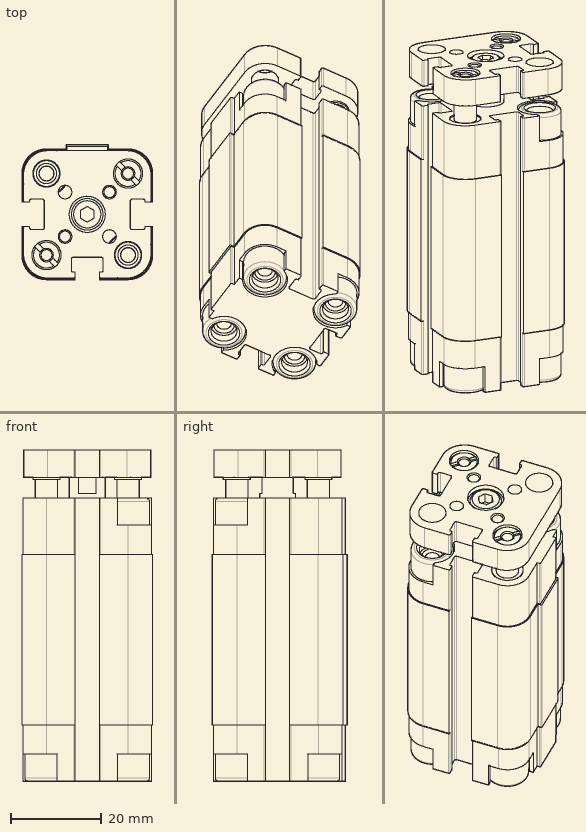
import cadquery as cq
import math

total_height = 73.5
housing_height = 62.85
cap_height = 12.5
plate_thickness = 6.1
plate_bottom = total_height - plate_thickness
barrel_top = housing_height - cap_height

barrel_width = 29.0
cap_width = 28.5
plate_width = 28.2
barrel_corner_radius = 5.5
cap_corner_radius = 5.2
plate_corner_radius = 5.3

slot_floor = 9.55
slot_lip = 12.8
side_slot_width = 6.7
front_slot_width = 7.0
slot_corner_radius = 0.4
slot_mouth = 5.4
lip_round = 0.3
slots = ((0, side_slot_width), (180, side_slot_width), (270, front_slot_width))

barrel_rail_width = 9.4
barrel_rail_height = 0.95
cap_rail_width = 9.0
cap_rail_height = 0.8
rail_round = 0.2

corner_offset = 9.05
bolt_corners = ((1, -1), (-1, 1))
guide_corners = ((1, 1), (-1, -1))

boss_diameter = 9.5
boss_pocket_diameter = 9.9
boss_height = 6.0
boss_round = 0.7
notch_inner_edge = 6.7
bore_rim_diameter = 7.0
bore_diameter = 5.7
bore_depth = 2.6
countersink_diameter = 4.5
bolt_hole_diameter = 3.2

rod_diameter = 8.0
rod_flat_width = 7.0
rod_flat_bottom = 63.9
rod_head_diameter = 7.0
rod_head_top_diameter = 6.0
hex_across_flats = 3.0
hex_depth = 2.95
hex_rotation = 30

guide_diameter = 5.0
guide_collar_diameter = 6.0
guide_collar_height = 0.5
guide_seat_diameter = 7.0
guide_seat_depth = 0.3
guide_head_diameter = 6.5
guide_head_top_diameter = 5.7
guide_slot_width = 1.1
guide_slot_depth = 0.7
guide_slot_angle = -45
guide_socket_diameter = 3.0
guide_socket_floor_diameter = 2.4
guide_socket_depth = 0.3

guide_head_recess = 0.4
rod_head_recess = 0.45
head_seat_depth = 1.2
rod_end = barrel_top

plate_bolt_hole_diameter = 6.0
small_hole_offset = 4.9
small_hole_diameter = 3.0
thread_core_diameter = 2.4


def corner_points(corners, offset):
    """Points at the given offset from the axis in X and Y."""
    return [(sx * offset, sy * offset) for sx, sy in corners]


def cylinder(point, diameter, bottom, top):
    return cq.Workplane("XY", origin=(*point, bottom)).circle(diameter / 2).extrude(top - bottom)


def cone(point, bottom_diameter, top_diameter, bottom, top):
    solid = cq.Solid.makeCone(bottom_diameter / 2, top_diameter / 2, top - bottom, cq.Vector(*point, bottom))
    return cq.Workplane(obj=solid)


def lip_rounding(outer_face, side, radius, bottom, height):
    """Material outside the rounded outer edge of one slot lip."""
    edge = side * slot_mouth / 2
    middle = radius * (1 - math.sqrt(0.5))
    return (
        cq.Workplane("XY", origin=(outer_face, edge, bottom))
        .lineTo(-radius, 0)
        .threePointArc((-middle, side * middle), (0, side * radius))
        .close()
        .extrude(height)
    )


def slot_cutter(width, slot_width, bottom, top, lip_radius):
    """T-slot open towards +X."""
    height = top - bottom
    channel = (
        cq.Workplane("XY", origin=((slot_floor + slot_lip) / 2, 0, bottom))
        .rect(slot_lip - slot_floor, slot_width)
        .extrude(height)
        .edges("|Z")
        .fillet(slot_corner_radius)
    )
    opening_length = width / 2 - slot_floor
    opening = (
        cq.Workplane("XY", origin=(slot_floor + opening_length / 2, 0, bottom))
        .rect(opening_length, slot_mouth)
        .extrude(height)
    )
    cutter = channel.union(opening)
    if lip_radius:
        for side in (-1, 1):
            cutter = cutter.union(lip_rounding(width / 2, side, lip_radius, bottom, height))
    return cutter


def slotted_block(width, corner_radius, bottom, top, lip_radius=0):
    """Square block with rounded corners and a T-slot on the -X, +X and -Y sides."""
    block = (
        cq.Workplane("XY", origin=(0, 0, bottom))
        .rect(width, width)
        .extrude(top - bottom)
        .edges("|Z")
        .fillet(corner_radius)
    )
    for angle, slot_width in slots:
        cutter = slot_cutter(width, slot_width, bottom, top, lip_radius)
        block = block.cut(cutter.rotate((0, 0, 0), (0, 0, 1), angle))
    return block


def rail(block_width, rail_width, rail_height, bottom, top):
    """Flat rail with rounded outer edges on the +Y side, rooted in the block."""
    outer_face = block_width / 2 + rail_height
    return (
        cq.Workplane("XY", origin=(0, (slot_floor + outer_face) / 2, bottom))
        .rect(rail_width, outer_face - slot_floor)
        .extrude(top - bottom)
        .edges("|Z and >Y")
        .fillet(rail_round)
    )


def corner_boss(corner):
    """Round boss with a rounded rim, upper end at the housing top."""
    point = corner_points([corner], corner_offset)[0]
    bottom = housing_height - boss_height
    boss = cylinder(point, boss_diameter, bottom, housing_height)
    return boss.faces(">Z").edges().fillet(boss_round)


def corner_notch(corner):
    """Space around a corner boss: the outer corner and a round pocket."""
    bottom = housing_height - boss_height
    size = barrel_width / 2 - notch_inner_edge
    middle = notch_inner_edge + size / 2
    point = corner_points([corner], middle)[0]
    box = cq.Workplane("XY", origin=(*point, bottom)).rect(size, size).extrude(boss_height)
    pocket = cylinder(corner_points([corner], corner_offset)[0], boss_pocket_diameter, bottom, housing_height)
    return box.union(pocket)


def bolt_bore(corner):
    """Stepped bore sunk from the housing top, with a rim chamfer and a countersink."""
    point = corner_points([corner], corner_offset)[0]
    floor = housing_height - bore_depth
    rim_chamfer = (bore_rim_diameter - bore_diameter) / 2
    sink_depth = (countersink_diameter - bolt_hole_diameter) / 2
    bore = cylinder(point, bore_diameter, floor, housing_height)
    rim = cone(point, bore_diameter, bore_rim_diameter, housing_height - rim_chamfer, housing_height)
    sink = cone(point, bolt_hole_diameter, countersink_diameter, floor - sink_depth, floor)
    return bore.union(rim).union(sink)


def flip(shape):
    """Turn a feature of the housing top into one of the bottom."""
    return shape.mirror("XY", (0, 0, housing_height / 2))


def make_housing():
    body = slotted_block(barrel_width, barrel_corner_radius, cap_height, barrel_top)
    body = body.union(rail(barrel_width, barrel_rail_width, barrel_rail_height, cap_height, barrel_top))
    for bottom in (0, barrel_top):
        top = bottom + cap_height
        body = body.union(slotted_block(cap_width, cap_corner_radius, bottom, top, lip_round))
        body = body.union(rail(cap_width, cap_rail_width, cap_rail_height, bottom, top))

    for corner in bolt_corners:
        body = body.cut(corner_notch(corner))
        body = body.union(corner_boss(corner))
        body = body.cut(bolt_bore(corner))
    for corner in bolt_corners + guide_corners:
        body = body.cut(flip(corner_notch(corner)))
        body = body.union(flip(corner_boss(corner)))
        body = body.cut(flip(bolt_bore(corner)))
    for point in corner_points(bolt_corners, corner_offset):
        body = body.cut(cylinder(point, bolt_hole_diameter, 0, housing_height))

    guide_seat_bottom = housing_height - guide_seat_depth
    body = body.cut(cylinder((0, 0), rod_diameter, rod_end, housing_height))
    for point in corner_points(guide_corners, corner_offset):
        body = body.cut(cylinder(point, guide_diameter, rod_end, housing_height))
        body = body.cut(cylinder(point, guide_seat_diameter, guide_seat_bottom, housing_height))
    return body


def sunk_head(plate, point, seat_diameter, head_diameter, chamfer, recess):
    """Chamfered round head in a seat bore, slightly below the plate face."""
    head_top = total_height - recess
    seat_bottom = total_height - head_seat_depth
    seat = cylinder(point, seat_diameter, seat_bottom, total_height)
    head = cylinder(point, head_diameter, seat_bottom, head_top).faces(">Z").edges().chamfer(chamfer)
    return plate.cut(seat).union(head)


def piston_rod():
    rod = cylinder((0, 0), rod_diameter, rod_end, plate_bottom)
    flat_height = plate_bottom - rod_flat_bottom
    flat_depth = (rod_diameter - rod_flat_width) / 2
    for side in (-1, 1):
        middle = side * (rod_flat_width + flat_depth) / 2
        flat = cq.Workplane("XY", origin=(0, middle, rod_flat_bottom)).rect(rod_diameter, flat_depth)
        rod = rod.cut(flat.extrude(flat_height))
    return rod


def guide_rod(point):
    rod = cylinder(point, guide_diameter, rod_end, plate_bottom)
    return rod.union(cylinder(point, guide_collar_diameter, plate_bottom - guide_collar_height, plate_bottom))


def guide_drive(point):
    """Diagonal screwdriver slot, interrupted by a shallow conical socket in the middle."""
    head_top = total_height - guide_head_recess
    slot_bottom = head_top - guide_slot_depth
    slot = (
        cq.Workplane("XY", origin=(*point, slot_bottom))
        .transformed(rotate=(0, 0, guide_slot_angle))
        .rect(guide_head_diameter, guide_slot_width)
        .extrude(guide_slot_depth)
        .intersect(cylinder(point, guide_head_diameter, slot_bottom, head_top))
        .cut(cylinder(point, guide_socket_diameter, slot_bottom, head_top))
    )
    socket_bottom = head_top - guide_socket_depth
    socket = cone(point, guide_socket_floor_diameter, guide_socket_diameter, socket_bottom, head_top)
    return slot.union(socket)


def make_moving_unit():
    unit = slotted_block(plate_width, plate_corner_radius, plate_bottom, total_height, lip_round)
    rod_chamfer = (rod_head_diameter - rod_head_top_diameter) / 2
    unit = sunk_head(unit, (0, 0), rod_diameter, rod_head_diameter, rod_chamfer, rod_head_recess)
    unit = unit.union(piston_rod())
    socket = (
        cq.Workplane("XY", origin=(0, 0, total_height - hex_depth))
        .transformed(rotate=(0, 0, hex_rotation))
        .polygon(6, hex_across_flats / math.cos(math.radians(30)))
        .extrude(hex_depth)
    )
    unit = unit.cut(socket)

    guide_chamfer = (guide_head_diameter - guide_head_top_diameter) / 2
    for point in corner_points(guide_corners, corner_offset):
        unit = sunk_head(
            unit, point, guide_head_diameter, guide_head_diameter, guide_chamfer, guide_head_recess
        )
        unit = unit.union(guide_rod(point)).cut(guide_drive(point))

    for point in corner_points(bolt_corners, corner_offset):
        unit = unit.cut(cylinder(point, plate_bolt_hole_diameter, plate_bottom, total_height))
    for point in corner_points(bolt_corners, small_hole_offset):
        unit = unit.cut(cylinder(point, small_hole_diameter, plate_bottom, total_height))
    thread_chamfer = (small_hole_diameter - thread_core_diameter) / 2
    for point in corner_points(guide_corners, small_hole_offset):
        unit = unit.cut(cylinder(point, thread_core_diameter, plate_bottom, total_height))
        rim_bottom = total_height - thread_chamfer
        unit = unit.cut(cone(point, thread_core_diameter, small_hole_diameter, rim_bottom, total_height))
    return unit


housing = make_housing()
moving_unit = make_moving_unit()

result = cq.Compound.makeCompound([housing.val(), moving_unit.val()])